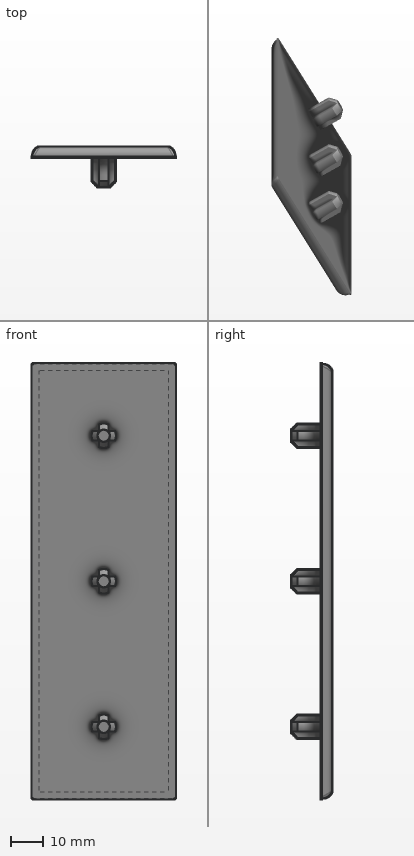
import cadquery as cq

plate_width = 44.8
plate_height = 134.8
rim_thickness = 0.5
plate_thickness = 3.6
body_inset = 0.3
rim_corner_radius = 1.0
body_corner_radius = rim_corner_radius - body_inset
edge_round = 3.4

post_count = 3
post_pitch = plate_height / post_count
post_length = 9.0
post_diameter = 7.5
arm_thickness = 2.8
tip_chamfer = 1.9


def slab(width, height, thickness, corner_radius):
    """Upright slab with its front face at Y = 0 and its four corners rounded."""
    return (
        cq.Workplane("XZ")
        .rect(width, height)
        .extrude(-thickness)
        .edges("|Y")
        .fillet(corner_radius)
    )


def make_plate():
    """Rim joined to a body whose edges curve inward and meet the flat rear face at a crease."""
    rim = slab(plate_width, plate_height, rim_thickness, rim_corner_radius)
    body = (
        slab(
            plate_width - 2 * body_inset,
            plate_height - 2 * body_inset,
            rim_thickness + edge_round,
            body_corner_radius,
        )
        .faces(">Y")
        .edges()
        .fillet(edge_round)
    )
    thickness_limit = cq.Workplane("XZ").rect(plate_width, plate_height).extrude(-plate_thickness)
    return rim.union(body.intersect(thickness_limit))


def make_post():
    """Round pin with a chamfered tip, cut down to a cross of two arms."""
    pin = (
        cq.Workplane("XZ")
        .circle(post_diameter / 2)
        .extrude(post_length)
        .faces("<Y")
        .chamfer(tip_chamfer)
    )
    upright_arm = cq.Workplane("XZ").rect(arm_thickness, post_diameter).extrude(post_length)
    level_arm = cq.Workplane("XZ").rect(post_diameter, arm_thickness).extrude(post_length)
    return pin.intersect(upright_arm.union(level_arm))


result = make_plate()
for index in range(post_count):
    post_z = (index - (post_count - 1) / 2) * post_pitch
    result = result.union(make_post().translate((0, 0, post_z)))